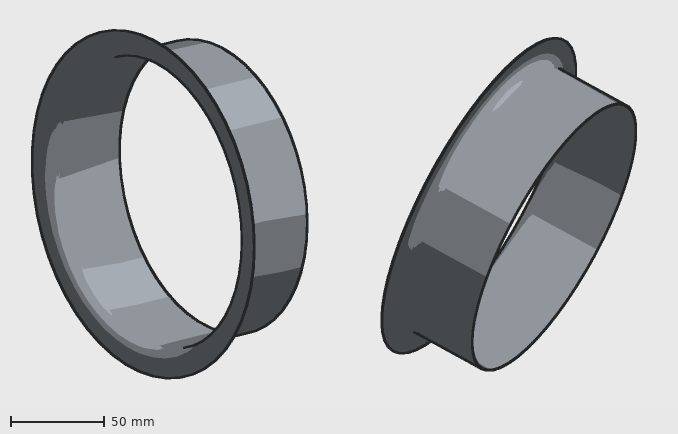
import cadquery as cq
import math

flange_diameter = 190.3
sleeve_inner_diameter = 160.2
sleeve_outer_diameter = 161.4
depth = 48.5
flare_radius = 7.0

flange_radius = flange_diameter / 2
inner_radius = sleeve_inner_diameter / 2
outer_radius = sleeve_outer_diameter / 2
thickness = outer_radius - inner_radius

flare_center_x = inner_radius + flare_radius
flare_center_y = flare_radius
back_flare_radius = flare_radius - thickness


def flare_midpoint(radius):
    """Point halfway along a quarter arc of the flare."""
    offset = radius * math.sqrt(0.5)
    return (flare_center_x - offset, flare_center_y - offset)


wall_section = (
    cq.Workplane("XY")
    .moveTo(flange_radius, 0)
    .lineTo(flare_center_x, 0)
    .threePointArc(flare_midpoint(flare_radius), (inner_radius, flare_center_y))
    .lineTo(inner_radius, depth)
    .lineTo(outer_radius, depth)
    .lineTo(outer_radius, flare_center_y)
    .threePointArc(flare_midpoint(back_flare_radius), (flare_center_x, thickness))
    .lineTo(flange_radius, thickness)
    .close()
)

result = wall_section.revolve(360, (0, 0, 0), (0, 1, 0))